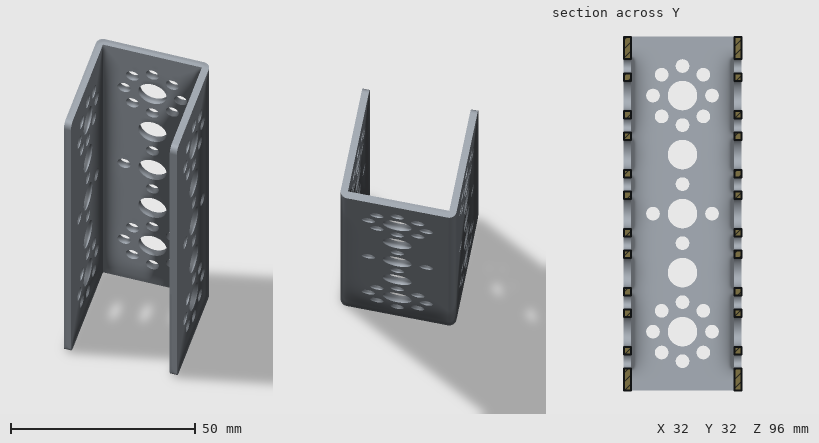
import cadquery as cq

width = 32.0
depth = 32.0
length = 96.0
wall = 2.0
bend_radius = wall
corner_radius = 2.0

large_diameter = 8.0
small_diameter = 3.7
pitch = 16.0
ring_radius = pitch / 2
large_rows = range(-2, 3)
ring_counts = {large_rows[0]: 8, 0: 4, large_rows[-1]: 8}


def channel():
    """U-section open toward -Y, with rounded outer bends and flange corners."""
    outer = cq.Workplane("XY").box(width, depth, length)
    outer = outer.edges("|Z and >Y").fillet(bend_radius)
    outer = outer.edges("|X and <Y").fillet(corner_radius)
    cavity = cq.Workplane("XY").box(width - 2 * wall, depth, length)
    return outer.cut(cavity.translate((0, -wall, 0)))


def drill_pattern(start_plane, drill_length):
    """Pins for one full hole pattern, extruded from the given plane (its local y is Z)."""
    pins = (
        start_plane.pushPoints([(0, row * pitch) for row in large_rows])
        .circle(large_diameter / 2)
        .extrude(drill_length)
    )
    for row, count in ring_counts.items():
        ring = (
            start_plane.center(0, row * pitch)
            .polarArray(ring_radius, 0, 360, count)
            .circle(small_diameter / 2)
            .extrude(drill_length)
        )
        pins = pins.union(ring)
    return pins


web_drills = drill_pattern(cq.Workplane("XZ", origin=(0, depth / 2, 0)), depth)
flange_drills = drill_pattern(cq.Workplane("YZ", origin=(-width / 2, 0, 0)), width)

result = channel().cut(web_drills).cut(flange_drills)